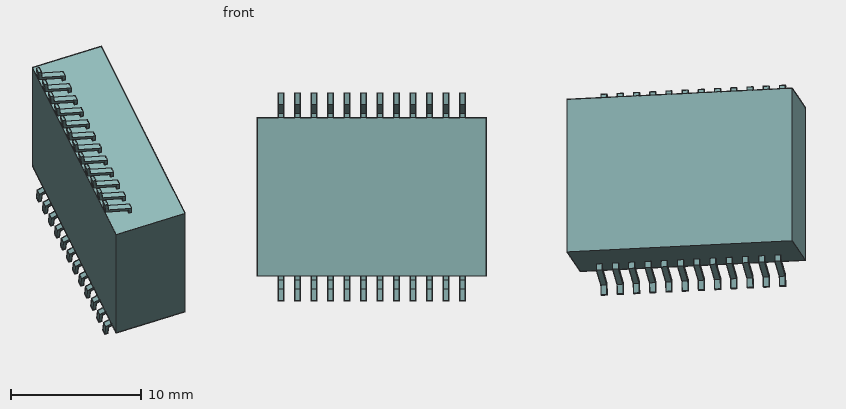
import cadquery as cq
import math

overall_depth = 6.0
overall_height = 16.0

body_width = 17.62
body_depth = 5.71
body_height = 12.2

leads_per_row = 12
lead_pitch = 1.27
lead_width = 0.45
lead_thickness = 0.25
lead_setback = 1.67
first_bend_height = 0.32
arm_angle = 20.0
foot_lean = 0.07

front_y = -body_depth / 2
top_z = body_height / 2
tip_z = overall_height / 2
tip_y = front_y - (overall_depth - body_depth)
root_y = front_y + lead_setback
first_bend_z = top_z + first_bend_height
second_bend_y = tip_y + foot_lean
second_bend_z = first_bend_z + (root_y - second_bend_y) * math.tan(math.radians(arm_angle))

bend_rise = lead_thickness * math.tan(math.radians((90 - arm_angle) / 2))


def make_body():
    return cq.Workplane("XY").box(body_width, body_depth, body_height)


def make_lead(center_x):
    """Z-shaped lead standing on the top face: upright root, sloped arm, leaning foot."""
    front_edge = [
        (root_y, top_z),
        (root_y, first_bend_z),
        (second_bend_y, second_bend_z),
        (tip_y, tip_z),
    ]
    back_edge = [
        (tip_y + lead_thickness, tip_z),
        (second_bend_y + lead_thickness, second_bend_z + bend_rise),
        (root_y + lead_thickness, first_bend_z + bend_rise),
        (root_y + lead_thickness, top_z),
    ]
    return (
        cq.Workplane("YZ", origin=(center_x, 0, 0))
        .polyline(front_edge + back_edge)
        .close()
        .extrude(lead_width / 2, both=True)
    )


result = make_body()
for index in range(leads_per_row):
    lead = make_lead((index - (leads_per_row - 1) / 2) * lead_pitch)
    result = result.union(lead)
    result = result.union(lead.mirror("XY"))